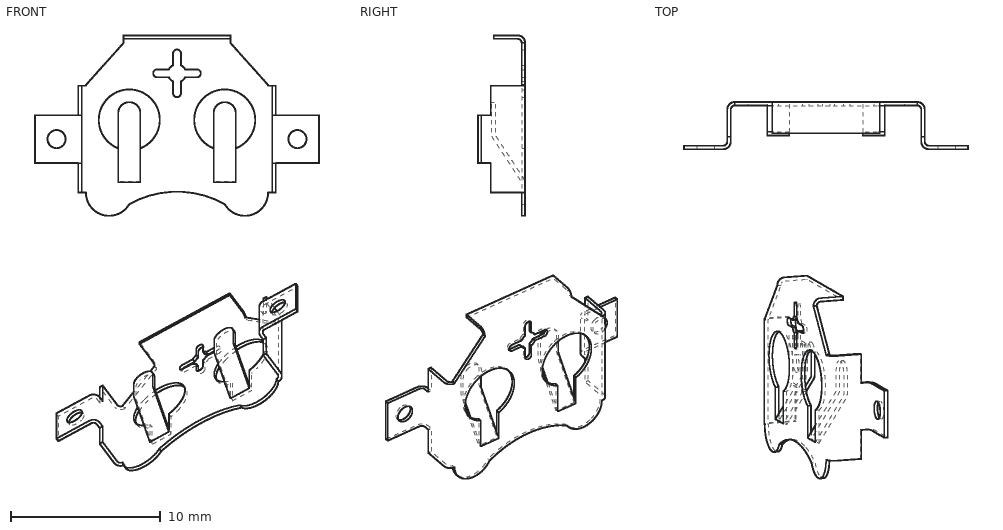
import cadquery as cq
import math


thickness = 0.25
inner_radius = 0.27
outer_radius = inner_radius + thickness
diagonal = math.sqrt(0.5)

overall_length = 18.95
overall_depth = 3.16
overall_height = 12.05

plate_half_width = 6.08
lobe_radius = 1.55
lobe_x = plate_half_width - lobe_radius
notch_half_width = 3.18
notch_top_z = 1.61
shoulder_z = 8.74

lip_width = 7.15
lip_depth = 2.1

wing_x = plate_half_width + outer_radius
wing_bottom_z = lobe_radius
wing_length = 7.15
wing_depth = 2.31
wing_center_z = wing_bottom_z + wing_length / 2
tab_width = 3.2
tab_hole_diameter = 1.2
tab_hole_x = 8.03

window_x = 3.18
window_z = 6.4
window_diameter = 4.05
tongue_width = 1.5
tongue_root_z = 2.25
tongue_bend_z = 5.32
tongue_tip_z = 7.6
tongue_depth = 2.25

cross_z = 9.51
cross_length = 3.16
cross_arm_width = 0.51
cross_center_diameter = 1.2


def front_plane():
    """Sketch plane with X to the right and Z up, extruding towards -Y."""
    return cq.Workplane("XZ")


def box_between(x_min, x_max, y_min, y_max, z_min, z_max):
    size = (x_max - x_min, y_max - y_min, z_max - z_min)
    return cq.Workplane("XY").box(*size, centered=False).translate((x_min, y_min, z_min))


def make_plate():
    lip_bend_z = overall_height - outer_radius
    notch_end_z = lobe_radius - math.sqrt(lobe_radius**2 - (lobe_x - notch_half_width) ** 2)
    return (
        front_plane()
        .moveTo(-lip_width / 2, lip_bend_z)
        .lineTo(lip_width / 2, lip_bend_z)
        .lineTo(plate_half_width, shoulder_z)
        .lineTo(plate_half_width, lobe_radius)
        .threePointArc((lobe_x, 0), (notch_half_width, notch_end_z))
        .threePointArc((0, notch_top_z), (-notch_half_width, notch_end_z))
        .threePointArc((-lobe_x, 0), (-plate_half_width, lobe_radius))
        .lineTo(-plate_half_width, shoulder_z)
        .close()
        .extrude(thickness)
    )


def make_lip():
    bend_z = overall_height - outer_radius
    return (
        cq.Workplane("YZ", origin=(-lip_width / 2, 0, 0))
        .moveTo(0, bend_z)
        .threePointArc(
            (-outer_radius * (1 - diagonal), bend_z + outer_radius * diagonal),
            (-outer_radius, overall_height),
        )
        .lineTo(-lip_depth, overall_height)
        .lineTo(-lip_depth, overall_height - thickness)
        .lineTo(-outer_radius, overall_height - thickness)
        .threePointArc(
            (-outer_radius + inner_radius * diagonal, bend_z + inner_radius * diagonal),
            (-thickness, bend_z),
        )
        .close()
        .extrude(lip_width)
    )


def make_right_wing():
    """Full-length wing whose middle part continues into the mounting tab."""
    bend_y = -outer_radius
    tab_bend_x = wing_x + inner_radius
    tab_bend_y = -overall_depth + outer_radius
    strip = (
        cq.Workplane("XY", origin=(0, 0, wing_bottom_z))
        .moveTo(plate_half_width, 0)
        .threePointArc(
            (plate_half_width + outer_radius * diagonal, bend_y + outer_radius * diagonal),
            (wing_x, bend_y),
        )
        .lineTo(wing_x, tab_bend_y)
        .threePointArc(
            (tab_bend_x - inner_radius * diagonal, tab_bend_y - inner_radius * diagonal),
            (tab_bend_x, -overall_depth + thickness),
        )
        .lineTo(overall_length / 2, -overall_depth + thickness)
        .lineTo(overall_length / 2, -overall_depth)
        .lineTo(tab_bend_x, -overall_depth)
        .threePointArc(
            (tab_bend_x - outer_radius * diagonal, tab_bend_y - outer_radius * diagonal),
            (wing_x - thickness, tab_bend_y),
        )
        .lineTo(wing_x - thickness, bend_y)
        .threePointArc(
            (plate_half_width + inner_radius * diagonal, bend_y + inner_radius * diagonal),
            (plate_half_width, -thickness),
        )
        .close()
        .extrude(wing_length)
    )
    wing_top_z = wing_bottom_z + wing_length
    tab_bottom_z = wing_center_z - tab_width / 2
    tab_top_z = wing_center_z + tab_width / 2
    for z_min, z_max in ((wing_bottom_z, tab_bottom_z), (tab_top_z, wing_top_z)):
        strip = strip.cut(
            box_between(plate_half_width, overall_length / 2, -overall_depth, -wing_depth, z_min, z_max)
        )
    hole = (
        front_plane()
        .center(tab_hole_x, wing_center_z)
        .circle(tab_hole_diameter / 2)
        .extrude(overall_depth)
    )
    return strip.cut(hole)


def make_cross_cutter():
    cutter = front_plane().center(0, cross_z).circle(cross_center_diameter / 2).extrude(thickness)
    for angle in (0, 90):
        arm = front_plane().center(0, cross_z).slot2D(cross_length, cross_arm_width, angle)
        cutter = cutter.union(arm.extrude(thickness))
    return cutter


def make_window_cutter(x):
    """Round window plus the slot left below it by the bent-out tongue."""
    window = front_plane().center(x, window_z).circle(window_diameter / 2).extrude(thickness)
    slot = box_between(
        x - tongue_width / 2, x + tongue_width / 2, -thickness, 0, tongue_root_z, window_z
    )
    return window.union(slot)


def make_tongue(x):
    """Tongue that slopes out of the plate and ends in an upright rounded tip."""
    slope = math.atan2(tongue_bend_z - tongue_root_z, tongue_depth - thickness)
    back_y = -tongue_depth + thickness
    sheet_height = thickness / math.cos(slope)
    back_bend_z = tongue_bend_z + sheet_height - thickness * math.tan(slope)
    root_top_z = tongue_root_z + sheet_height - thickness * math.tan(slope)
    profile = (
        cq.Workplane("YZ", origin=(x - tongue_width / 2, 0, 0))
        .moveTo(-thickness, tongue_root_z)
        .lineTo(-tongue_depth, tongue_bend_z)
        .lineTo(-tongue_depth, tongue_tip_z)
        .lineTo(back_y, tongue_tip_z)
        .lineTo(back_y, back_bend_z)
        .lineTo(0, root_top_z)
        .lineTo(0, tongue_root_z)
        .close()
        .extrude(tongue_width)
    )
    profile = profile.edges(cq.NearestToPointSelector((x, -tongue_depth, tongue_bend_z))).fillet(
        outer_radius
    )
    profile = profile.edges(cq.NearestToPointSelector((x, back_y, back_bend_z))).fillet(
        inner_radius
    )
    tip_radius = tongue_width / 2
    tip_center_z = tongue_tip_z - tip_radius
    outline = (
        front_plane()
        .moveTo(x - tip_radius, tongue_root_z)
        .lineTo(x + tip_radius, tongue_root_z)
        .lineTo(x + tip_radius, tip_center_z)
        .threePointArc((x, tongue_tip_z), (x - tip_radius, tip_center_z))
        .close()
        .extrude(tongue_depth)
    )
    return profile.intersect(outline)


plate = make_plate().cut(make_cross_cutter())
for side in (-1, 1):
    plate = plate.cut(make_window_cutter(side * window_x))
    plate = plate.union(make_tongue(side * window_x))

right_wing = make_right_wing()
left_wing = right_wing.mirror("YZ")
result = plate.union(make_lip()).union(right_wing).union(left_wing)